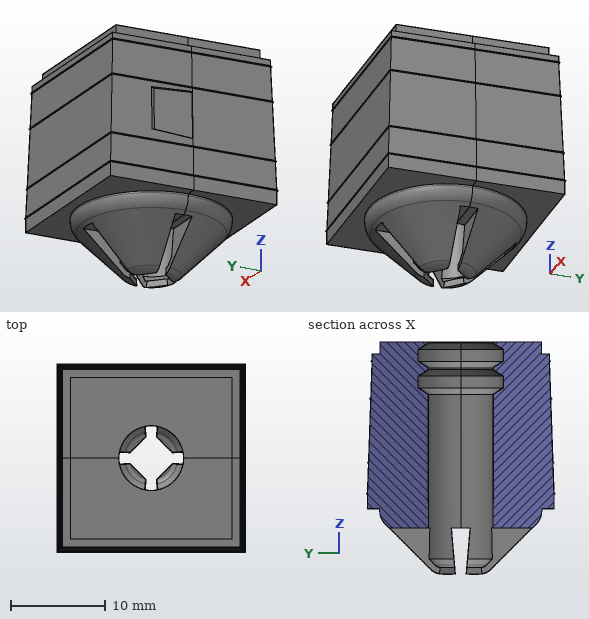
import cadquery as cq
import math

TOTAL_HEIGHT = 24.62
COLLAR_TOP = 23.36
RIB_LEVELS = (8.52, 11.82, 18.56, 22.58)
BLOCK_BOTTOM = 6.95
FLANGE_EDGE = 6.75
SLOT_TOP = 4.9

BASE_HALF = 9.9
TOP_PAD_HALF = 8.57
DRAFT = 2.0
RIB_PROTRUSION = 0.1
RIB_HEIGHT = 0.15
TAPER_BOTTOM = RIB_LEVELS[0]
TAPER_TOP = RIB_LEVELS[-1]

FLANGE_RADIUS = 8.62
SHOULDER_FILLET = 2.07
TIP_FILLET = 1.77

BORE_RADIUS = 3.42
GROOVE_RADIUS = 4.48
GROOVE_COUNT = 2
GROOVE_PITCH = 2.83
GROOVE_WALL = 1.25
TOOTH_TIP = 0.2
TOP_LIP = 0.1

FUNNEL_TOP = 1.65
FUNNEL_BOTTOM = 0.98
FUNNEL_RADIUS = 2.8
FLOOR_RADIUS = 2.27
FLOOR_HEIGHT = 0.75
OPENING_FLATS = 4.0
SLOT_WIDTH_TIP = 1.13
SLOT_WIDTH_TOP = 1.97

RECESS_LENGTH = 4.87
RECESS_TOP_AT_SEAM = 18.2
RECESS_TOP_AT_END = 17.92
RECESS_BOTTOM_AT_SEAM = 12.8
RECESS_BOTTOM_AT_END = 13.1
RECESS_DEPTH = 0.12
RECESS_END_INSET = 0.35
RECESS_SIDE_INSET = 0.07


def half_width(height):
    """Half width of the drafted block at a height."""
    return BASE_HALF - (height - TAPER_BOTTOM) * math.tan(math.radians(DRAFT))


def square_frustum(bottom, top, bottom_half, top_half):
    lower = cq.Workplane("XY").workplane(offset=bottom).rect(2 * bottom_half, 2 * bottom_half)
    return lower.workplane(offset=top - bottom).rect(2 * top_half, 2 * top_half).loft(ruled=True)


def square_block():
    collar_half = half_width(TAPER_TOP)
    block = square_frustum(BLOCK_BOTTOM, TAPER_BOTTOM, BASE_HALF, BASE_HALF)
    block = block.union(square_frustum(TAPER_BOTTOM, TAPER_TOP, BASE_HALF, collar_half))
    block = block.union(square_frustum(TAPER_TOP, COLLAR_TOP, collar_half, collar_half))
    block = block.union(square_frustum(COLLAR_TOP, TOTAL_HEIGHT, TOP_PAD_HALF, TOP_PAD_HALF))
    for level in RIB_LEVELS:
        crest = half_width(level) + RIB_PROTRUSION
        foot = half_width(min(level + RIB_HEIGHT, TAPER_TOP))
        block = block.union(square_frustum(level, level + RIB_HEIGHT, crest, foot))
    return block


def nose():
    """Round flange, 45 degree cone and rounded tip, turned about Z."""
    sin45 = math.sin(math.pi / 4)
    rise45 = 1 - sin45
    shoulder_center = FLANGE_RADIUS - SHOULDER_FILLET
    cone_top_radius = shoulder_center + SHOULDER_FILLET * sin45
    cone_top = FLANGE_EDGE - SHOULDER_FILLET * sin45
    cone_bottom = TIP_FILLET * rise45
    cone_bottom_radius = cone_top_radius - (cone_top - cone_bottom)
    tip_center = cone_bottom_radius - TIP_FILLET * sin45

    def on_shoulder(angle):
        return (
            shoulder_center + SHOULDER_FILLET * math.cos(angle),
            FLANGE_EDGE - SHOULDER_FILLET * math.sin(angle),
        )

    def on_tip(angle):
        return (tip_center + TIP_FILLET * math.sin(angle), TIP_FILLET * (1 - math.cos(angle)))

    profile = (
        cq.Workplane("XZ")
        .moveTo(0, BLOCK_BOTTOM)
        .lineTo(FLANGE_RADIUS, BLOCK_BOTTOM)
        .lineTo(FLANGE_RADIUS, FLANGE_EDGE)
        .threePointArc(on_shoulder(math.pi / 8), on_shoulder(math.pi / 4))
        .lineTo(cone_bottom_radius, cone_bottom)
        .threePointArc(on_tip(math.pi / 8), on_tip(0))
        .lineTo(0, 0)
        .close()
    )
    return profile.revolve(360, (0, 0, 0), (0, 1, 0))


def bore():
    """Bore with sealing grooves under the top and a funnel between the fingers."""
    flank = (GROOVE_PITCH - TOOTH_TIP - GROOVE_WALL) / 2
    profile = cq.Workplane("XZ").moveTo(0, TOTAL_HEIGHT).lineTo(BORE_RADIUS, TOTAL_HEIGHT)
    for index in range(GROOVE_COUNT):
        groove_top = TOTAL_HEIGHT - TOP_LIP - index * GROOVE_PITCH
        profile = (
            profile.lineTo(BORE_RADIUS, groove_top)
            .lineTo(GROOVE_RADIUS, groove_top - flank)
            .lineTo(GROOVE_RADIUS, groove_top - flank - GROOVE_WALL)
            .lineTo(BORE_RADIUS, groove_top - 2 * flank - GROOVE_WALL)
        )
    profile = (
        profile.lineTo(BORE_RADIUS, FUNNEL_TOP)
        .lineTo(FUNNEL_RADIUS, FUNNEL_BOTTOM)
        .tangentArcPoint((FLOOR_RADIUS, FLOOR_HEIGHT), relative=False)
        .lineTo(0, FLOOR_HEIGHT)
        .close()
    )
    return profile.revolve(360, (0, 0, 0), (0, 1, 0))


def finger_slot(angle):
    """Slot across the whole nose, wider at its closed end."""
    slot = (
        cq.Workplane("XZ")
        .moveTo(-SLOT_WIDTH_TIP / 2, 0)
        .lineTo(SLOT_WIDTH_TIP / 2, 0)
        .lineTo(SLOT_WIDTH_TOP / 2, SLOT_TOP)
        .lineTo(-SLOT_WIDTH_TOP / 2, SLOT_TOP)
        .close()
        .extrude(FLANGE_RADIUS, both=True)
    )
    return slot.rotate((0, 0, 0), (0, 0, 1), angle)


def square_opening():
    opening = cq.Workplane("XY").rect(OPENING_FLATS, OPENING_FLATS).extrude(FUNNEL_BOTTOM)
    return opening.rotate((0, 0, 0), (0, 0, 1), 45)


def whole_grommet():
    body = square_block().union(nose()).cut(bore()).cut(square_opening())
    for angle in (0, 90):
        body = body.cut(finger_slot(angle))
    return body


def seam_half(side):
    """Everything on one side of the seam plane Y = 0; side is -1 or +1."""
    size = 2 * TOTAL_HEIGHT
    return cq.Workplane("XY").box(size, size, size).translate((0, side * size / 2, 0))


def recess_outline(level):
    """Outline of the pry recess: level 0 is its mouth, +1 its floor, -1 as far outside the face."""
    side_inset = level * RECESS_SIDE_INSET
    end = RECESS_LENGTH - level * RECESS_END_INSET
    corners = [
        (0, RECESS_BOTTOM_AT_SEAM + side_inset),
        (0, RECESS_TOP_AT_SEAM - side_inset),
        (end, RECESS_TOP_AT_END - side_inset),
        (end, RECESS_BOTTOM_AT_END + side_inset),
    ]
    points = [cq.Vector(level * RECESS_DEPTH - half_width(z), y, z) for y, z in corners]
    return cq.Wire.makePolygon(points, close=True)


def pry_recess():
    """Shallow tapered recess in the -X face, open toward the seam, with its floor parallel to the face."""
    return cq.Workplane(obj=cq.Solid.makeLoft([recess_outline(-1), recess_outline(1)], True))


def make_front_half():
    return whole_grommet().intersect(seam_half(-1))


def make_back_half():
    return whole_grommet().intersect(seam_half(1)).cut(pry_recess())


front_half = make_front_half()
back_half = make_back_half()

result = cq.Compound.makeCompound([front_half.val(), back_half.val()])